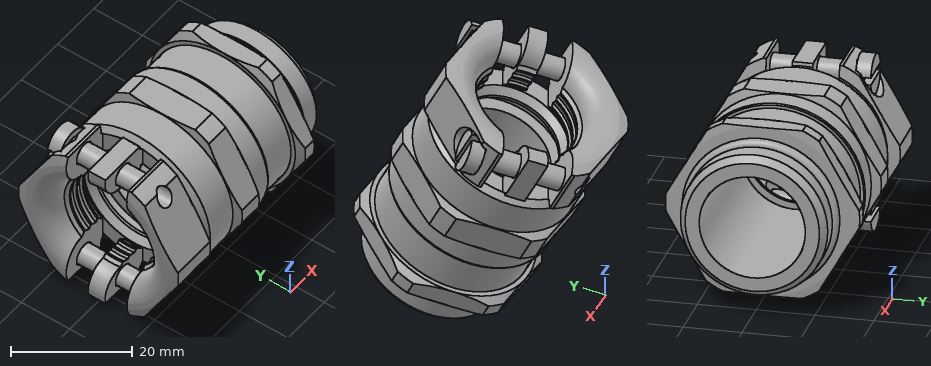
import cadquery as cq
import math

across_flats = 30.05
corner_dia = 33.0
corner_radius = corner_dia / 2
flat_radius = across_flats / 2

jaw_length = 10.0
body_start = 10.4
front_rim_radius = 14.7
front_bevel = 0.5
rear_bevel_start = 9.3
rear_cone_start = 9.65
rear_cone_end_radius = 13.7
jaw_face_y = 6.25
tab_thickness = 3.5

mouth_radius = 13.5
throat_radius = 9.8
flare_depth = mouth_radius - throat_radius
flare_length = 4.2
tooth_tip_radius = 18.5 / 2
tooth_depth = 0.35
first_tooth = 4.88
tooth_pitch = 1.8
tooth_count = 3
tooth_land = 0.35
tooth_back = 1.05

screw_axis_x = 4.95
screw_axis_z = 12.25
screw_heights = (screw_axis_z, -screw_axis_z)
shank_dia = 4.0
shank_end_y = -7.67
head_dia = 7.0
head_seat_y = 8.65
head_height = 2.6
driver_slot_width = 1.25
driver_slot_depth = 1.63
recess_dia = 7.45
jaw_clearance_dia = 4.3
tab_clearance_dia = 4.2
jaw_outlet_dia = 3.25

body_radius = 29.8 / 2
body_front_bevel = 1.0
cap_hex_start = 17.65
cap_hex_end = 23.1
cap_hex_bevel = 0.4
cap_end = 27.6
cap_edge_length = 0.35
cap_edge_depth = 0.2
barrel_radius = 28.3 / 2
end_hex_start = 34.6
end_hex_end = 38.1
end_hex_front_bevel = 0.85
end_hex_rear_bevel = 0.2
ring_groove_radius = 22.8 / 2
ring_section_dia = 2.05
ring_outer_radius = 26.75 / 2
spigot_start = 40.1
spigot_start_radius = 24.0 / 2
spigot_radius = 25.0 / 2
spigot_bevel = 0.5
spigot_end = 45.15
spigot_end_bevel = 1.25
spigot_end_radius = 22.8 / 2

entry_radius = 20.6 / 2
seal_lip_radius = 18.2 / 2
bore_radius = 18.0 / 2
entry_cone_length = 1.25
seal_lip_length = 0.55
cavity_radius = 22.8 / 2
cavity_end = 15.05


def turned(points):
    """Solid of revolution about X from a closed outline of (x, radius) points."""
    return cq.Workplane("XY").polyline(points).close().revolve(360, (0, 0, 0), (1, 0, 0))


def y_cylinder(diameter, z, y_from, y_to):
    """Cylinder on a screw axis, between two Y positions."""
    centre = cq.Vector(screw_axis_x, y_from, z)
    return cq.Workplane(cq.Solid.makeCylinder(diameter / 2, y_to - y_from, centre, cq.Vector(0, 1, 0)))


def hexagon(start, end):
    """Hexagonal prism along X with corners at +Y and -Y."""
    circumscribed_dia = across_flats / math.cos(math.radians(30))
    return cq.Workplane("YZ", origin=(start, 0, 0)).polygon(6, circumscribed_dia).extrude(end - start)


def hex_collar(start, end, front_bevel_length, rear_bevel_length):
    """Hexagon with rounded corners and conical bevels that reach down to the flats."""
    envelope = turned([
        (start, 0),
        (start, flat_radius),
        (start + front_bevel_length, corner_radius),
        (end - rear_bevel_length, corner_radius),
        (end, flat_radius),
        (end, 0),
    ])
    return hexagon(start, end).intersect(envelope)


def clamp_bore():
    """Flared mouth, throat and gripping teeth, as a solid to cut away."""
    arc_radius = (flare_length**2 + flare_depth**2) / (2 * flare_depth)
    half_angle = math.asin(flare_length / arc_radius) / 2
    arc_middle = (
        flare_length - arc_radius * math.sin(half_angle),
        throat_radius + arc_radius * (1 - math.cos(half_angle)),
    )
    outline = cq.Workplane("XY").moveTo(0, 0).lineTo(0, mouth_radius)
    outline = outline.threePointArc(arc_middle, (flare_length, throat_radius))
    for number in range(tooth_count):
        tip_start = first_tooth + number * tooth_pitch
        tip_end = tip_start + tooth_land
        outline = outline.lineTo(tip_start, tooth_tip_radius).lineTo(tip_end, tooth_tip_radius)
        if number < tooth_count - 1:
            outline = outline.lineTo(tip_end + tooth_back, tooth_tip_radius + tooth_depth)
    outline = outline.lineTo(jaw_length, entry_radius).lineTo(body_start, entry_radius)
    return outline.lineTo(body_start, 0).close().revolve(360, (0, 0, 0), (1, 0, 0))


def clamp_blank():
    """The complete clamp before it is cut into jaws and tabs."""
    cone_start_radius = rear_cone_end_radius + body_start - rear_cone_start
    envelope = turned([
        (0, 0),
        (0, front_rim_radius),
        (front_bevel, corner_radius),
        (rear_bevel_start, corner_radius),
        (rear_cone_start, cone_start_radius),
        (body_start, rear_cone_end_radius),
        (body_start, 0),
    ])
    return hexagon(0, body_start).intersect(envelope).cut(clamp_bore())


def clamp_slice(y_min, y_max, end):
    """The part of the blank between two Y planes, from the front to x = end."""
    keeper = cq.Workplane("XY").box(end, y_max - y_min, 2 * corner_dia, centered=(False, False, True))
    return clamp_blank().intersect(keeper.translate((0, y_min, 0)))


def head_jaw():
    """Jaw on the +Y side, with clearance holes and recesses for the screw heads."""
    jaw = clamp_slice(jaw_face_y, corner_radius, jaw_length)
    for z in screw_heights:
        jaw = jaw.cut(y_cylinder(jaw_clearance_dia, z, 0, corner_radius))
        jaw = jaw.cut(y_cylinder(recess_dia, z, head_seat_y, corner_radius))
    return jaw


def threaded_jaw():
    """Jaw on the -Y side, which holds the shank ends; a smaller hole runs on to the outside."""
    jaw = clamp_slice(-corner_radius, -jaw_face_y, jaw_length)
    for z in screw_heights:
        jaw = jaw.cut(y_cylinder(shank_dia, z, shank_end_y, 0))
        jaw = jaw.cut(y_cylinder(jaw_outlet_dia, z, -corner_radius, 0))
    return jaw


def clamp_screw(z):
    """Cheese-head screw with a driver slot along X."""
    head_top_y = head_seat_y + head_height
    screw = y_cylinder(shank_dia, z, shank_end_y, head_seat_y)
    screw = screw.union(y_cylinder(head_dia, z, head_seat_y, head_top_y))
    slot = cq.Workplane("XY").box(head_dia, 2 * driver_slot_depth, driver_slot_width)
    return screw.cut(slot.translate((screw_axis_x, head_top_y, z)))


def gland_outside():
    """Turned outside of the body: cap, barrel, ring groove and spigot."""
    return turned([
        (body_start, 0),
        (body_start, rear_cone_end_radius),
        (body_start + body_front_bevel, body_radius),
        (cap_end - cap_edge_length, body_radius),
        (cap_end, body_radius - cap_edge_depth),
        (cap_end, barrel_radius),
        (end_hex_end, barrel_radius),
        (end_hex_end, ring_groove_radius),
        (spigot_start, ring_groove_radius),
        (spigot_start, spigot_start_radius),
        (spigot_start + spigot_bevel, spigot_radius),
        (spigot_end - spigot_end_bevel, spigot_radius),
        (spigot_end, spigot_end_radius),
        (spigot_end, 0),
    ])


def gland_bore():
    """Tapered entry, seal lip, inner cavity and the bore to the rear end."""
    lip_start = body_start + entry_cone_length
    lip_end = lip_start + seal_lip_length
    return turned([
        (body_start, 0),
        (body_start, entry_radius),
        (lip_start, seal_lip_radius),
        (lip_end, seal_lip_radius),
        (lip_end, cavity_radius),
        (cavity_end, cavity_radius),
        (cavity_end, bore_radius),
        (spigot_end, bore_radius),
        (spigot_end, 0),
    ])


def sealing_ring():
    """Round bead that fills the groove in front of the spigot."""
    section_radius = ring_section_dia / 2
    centre = ((end_hex_end + spigot_start) / 2, ring_outer_radius - section_radius)
    section = cq.Workplane("XY").center(*centre).circle(section_radius)
    return section.revolve(360, (0, -centre[1], 0), (1, -centre[1], 0))


def gland_body():
    """Body with its two hexagon collars, the sealing bead and the two clamp tabs."""
    body = gland_outside()
    body = body.union(hex_collar(cap_hex_start, cap_hex_end, cap_hex_bevel, cap_hex_bevel))
    body = body.union(hex_collar(end_hex_start, end_hex_end, end_hex_front_bevel, end_hex_rear_bevel))
    body = body.union(sealing_ring())
    body = body.cut(gland_bore())
    tabs = clamp_slice(-tab_thickness / 2, tab_thickness / 2, body_start)
    for z in screw_heights:
        tabs = tabs.cut(y_cylinder(tab_clearance_dia, z, -tab_thickness, tab_thickness))
    return body.union(tabs)


gland = gland_body()
jaws = [head_jaw(), threaded_jaw()]
screws = [clamp_screw(z) for z in screw_heights]

result = cq.Compound.makeCompound([
    gland.val(),
    *[jaw.val() for jaw in jaws],
    *[screw.val() for screw in screws],
])